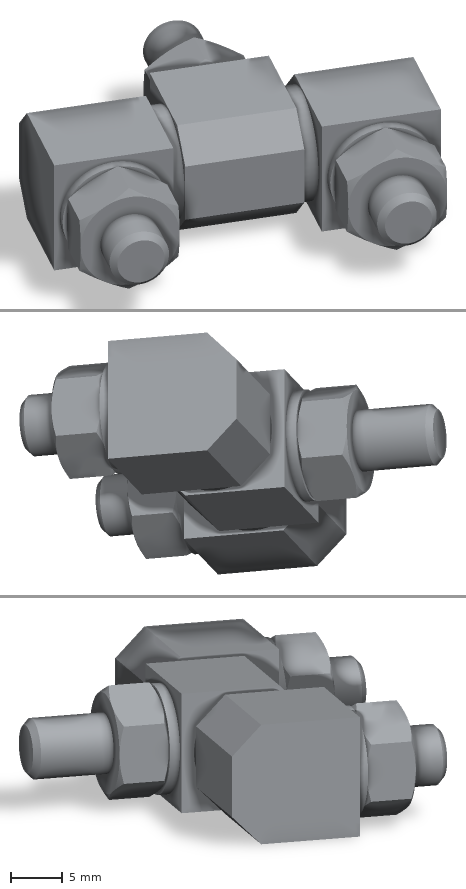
import cadquery as cq
import math

LENGTH_Y = 39.0
BLOCK_SIDE = 12.0
BLOCK_LENGTH = 13.0
BLOCK_CHAMFER = 2.95
OUTER_BLOCK_OFFSET = 1.0

PIN_DIAMETER = 11.5

COLLAR_DIAMETER = 10.9
COLLAR_THICKNESS = 1.0
NUT_ACROSS_FLATS = 10.0
NUT_THICKNESS = 5.0
NUT_BEVEL_ANGLE = 30.0
STUD_DIAMETER = 6.0
STUD_CHAMFER = 0.62
LONG_STUD = 8.0
SHORT_STUD = 3.98

center_block_start = -(BLOCK_LENGTH + OUTER_BLOCK_OFFSET) / 2
outer_block_start = center_block_start + OUTER_BLOCK_OFFSET
outer_block_end = outer_block_start + BLOCK_LENGTH
outer_block_y = (LENGTH_Y - BLOCK_SIDE) / 2


def make_block(x_start, y_center, chamfered_face):
    """Square block with its upper and lower edges chamfered on one X face."""
    block = cq.Workplane("XY").box(BLOCK_LENGTH, BLOCK_SIDE, BLOCK_SIDE)
    block = block.faces(chamfered_face).edges("|Y").chamfer(BLOCK_CHAMFER)
    return block.translate((x_start + BLOCK_LENGTH / 2, y_center, 0))


def make_nut():
    """Hexagon nut along +Z, beveled at both ends, with flats facing +Y and -Y."""
    across_corners = NUT_ACROSS_FLATS / math.cos(math.radians(30))
    corner_radius = across_corners / 2
    flat_radius = NUT_ACROSS_FLATS / 2
    bevel = (corner_radius - flat_radius) * math.tan(math.radians(NUT_BEVEL_ANGLE))
    hexagon = cq.Workplane("XY").polygon(6, across_corners).extrude(NUT_THICKNESS)
    envelope = (
        cq.Workplane("XZ")
        .moveTo(0, 0)
        .lineTo(flat_radius, 0)
        .lineTo(corner_radius, bevel)
        .lineTo(corner_radius, NUT_THICKNESS - bevel)
        .lineTo(flat_radius, NUT_THICKNESS)
        .lineTo(0, NUT_THICKNESS)
        .close()
        .revolve(360, (0, 0, 0), (0, 1, 0))
    )
    return hexagon.intersect(envelope)


def make_fastener(stud_projection):
    """Collar, nut and stud stacked from the origin along +X."""
    stud_length = COLLAR_THICKNESS + NUT_THICKNESS + stud_projection
    collar = cq.Workplane("XY").circle(COLLAR_DIAMETER / 2).extrude(COLLAR_THICKNESS)
    nut = make_nut().translate((0, 0, COLLAR_THICKNESS))
    stud = cq.Workplane("XY").circle(STUD_DIAMETER / 2).extrude(stud_length)
    stud = stud.faces(">Z").chamfer(STUD_CHAMFER)
    fastener = collar.union(nut).union(stud)
    return fastener.rotate((0, 0, 0), (0, 1, 0), 90)


pin_length = 2 * outer_block_y
result = cq.Workplane("XZ").circle(PIN_DIAMETER / 2).extrude(pin_length / 2, both=True)

result = result.union(make_block(center_block_start, 0, ">X"))
long_fastener = make_fastener(LONG_STUD).rotate((0, 0, 0), (0, 0, 1), 180)
result = result.union(long_fastener.translate((center_block_start, 0, 0)))

for y_center in (-outer_block_y, outer_block_y):
    result = result.union(make_block(outer_block_start, y_center, "<X"))
    short_fastener = make_fastener(SHORT_STUD)
    result = result.union(short_fastener.translate((outer_block_end, y_center, 0)))